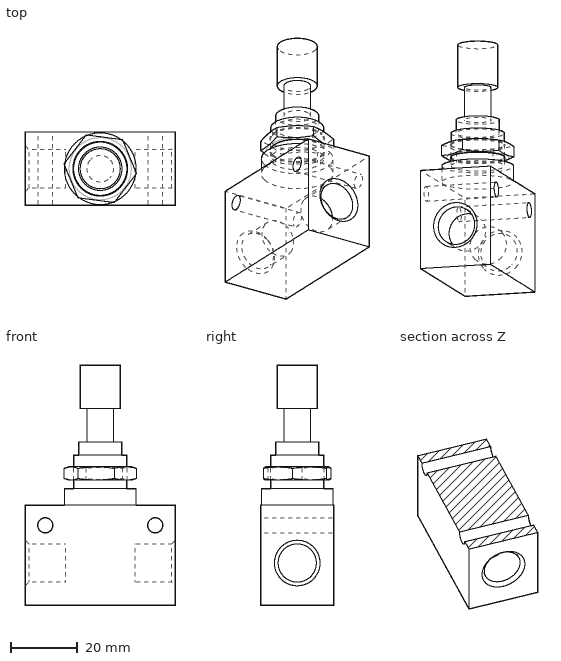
import cadquery as cq
import math

block_length = 45.0
block_depth = 22.0
block_height = 30.0

port_diameter = 11.45
port_mouth_diameter = 13.7
port_depth = 12.0
port_height = 12.7
port_chamfer = (port_mouth_diameter - port_diameter) / 2

mount_hole_diameter = 4.5
mount_hole_spacing = 33.0
mount_hole_height = 24.0

thread_diameter = 16.0
stem_steps = [
    (21.5, 35.0),
    (thread_diameter, 45.0),
    (13.0, 49.0),
    (8.0, 59.0),
    (12.0, 72.0),
]

nut_across_flats = 19.0
nut_height = 4.0
nut_base = 37.5
nut_turn = -7.5
nut_face_diameter = 18.65
nut_chamfer_angle = 17.0
nut_bore_chamfer = 0.2
nut_across_corners = nut_across_flats / math.cos(math.pi / 6)


def make_port(end):
    """Blind port with a conical mouth, cut inward from the end face at end = -1 or +1."""
    radius = port_diameter / 2
    profile = [
        (0, 0),
        (0, port_mouth_diameter / 2),
        (port_chamfer, radius),
        (port_depth, radius),
        (port_depth, 0),
    ]
    face_x = end * block_length / 2
    points = [(face_x - end * depth, port_height + r) for depth, r in profile]
    axis_start = (0, port_height)
    axis_end = (1, port_height)
    return cq.Workplane("XZ").polyline(points).close().revolve(360, axis_start, axis_end)


def make_stem():
    """Stack of coaxial cylinders standing on the block."""
    stem = cq.Workplane("XY")
    base = block_height
    for diameter, top in stem_steps:
        step = cq.Workplane("XY").workplane(offset=base).circle(diameter / 2).extrude(top - base)
        stem = stem.add(step)
        base = top
    return stem.combine()


def make_housing():
    """Valve block with ports and mounting holes, in one piece with its stem."""
    block = cq.Workplane("XY").box(block_length, block_depth, block_height, centered=(True, True, False))
    for end in (-1, 1):
        block = block.cut(make_port(end))
    mount_holes = (
        cq.Workplane("XZ")
        .pushPoints([(side * mount_hole_spacing / 2, mount_hole_height) for side in (-1, 1)])
        .circle(mount_hole_diameter / 2)
        .extrude(block_depth / 2, both=True)
    )
    return block.cut(mount_holes).union(make_stem())


def make_nut():
    """Hexagon nut with corners chamfered on both faces and a bore that fits the threaded neck."""
    hexagon = cq.Workplane("XY").polygon(6, nut_across_corners).extrude(nut_height)
    face_radius = nut_face_diameter / 2
    corner_radius = nut_across_corners / 2
    corner_drop = (corner_radius - face_radius) * math.tan(math.radians(nut_chamfer_angle))
    turned_blank = (
        cq.Workplane("XZ")
        .polyline([
            (0, 0),
            (face_radius, 0),
            (corner_radius, corner_drop),
            (corner_radius, nut_height - corner_drop),
            (face_radius, nut_height),
            (0, nut_height),
        ])
        .close()
        .revolve(360, (0, 0), (0, 1))
    )
    nut = hexagon.intersect(turned_blank)
    bore = cq.Workplane("XY").circle(thread_diameter / 2).extrude(nut_height)
    nut = nut.cut(bore)
    bore_edges = cq.selectors.RadiusNthSelector(0)
    nut = nut.faces("<Z or >Z").edges(bore_edges).chamfer(nut_bore_chamfer)
    return nut.rotate((0, 0, 0), (0, 0, 1), nut_turn).translate((0, 0, nut_base))


housing = make_housing()
nut = make_nut()
result = cq.Compound.makeCompound([housing.val(), nut.val()])